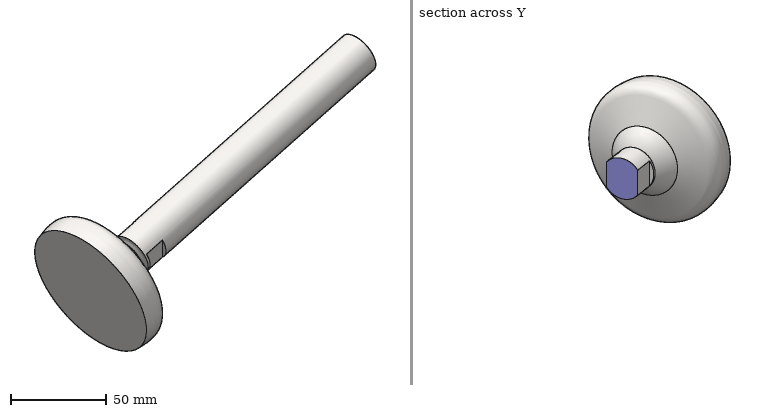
import cadquery as cq
import math


FOOT_RADIUS = 40.0
TOTAL_LENGTH = 211.5

SOLE_RADIUS = 39.2
SOLE_TAPER_HEIGHT = 5.7
RIM_TOP = 9.0
SHOULDER_RADIUS = 7.5
FLARE_ANGLE = math.radians(20.7)
COLLAR_RADIUS = 19.7
COLLAR_TOP = 23.0

DOME_RADIUS = 24.0
DOME_TOP = 31.9

STEM_RADIUS = 12.0
STEM_LENGTH = 179.5
STEM_START = TOTAL_LENGTH - STEM_LENGTH

NECK_TOP_RADIUS = 9.5
NECK_HALF_ANGLE = math.radians(75.0)
NECK_DEPTH = 1.5

FLATS_WIDTH = 19.0
FLATS_LENGTH = 12.5
FLATS_OFFSET = 1.5


def turned(profile):
    """Revolve a closed radius/height profile about the Y axis."""
    return profile.close().revolve(360, (0, 0, 0), (0, 1, 0))


def shoulder_point(angle):
    """Point on the rounded shoulder, at an angle up from the radial direction."""
    radius = FOOT_RADIUS - SHOULDER_RADIUS + SHOULDER_RADIUS * math.cos(angle)
    height = RIM_TOP + SHOULDER_RADIUS * math.sin(angle)
    return radius, height


def make_foot():
    """Tapered sole, straight rim, round shoulder, tangent flare and collar cone."""
    shoulder_end_angle = math.pi / 2 - FLARE_ANGLE
    shoulder_end = shoulder_point(shoulder_end_angle)
    flare_run = shoulder_end[0] - COLLAR_RADIUS
    flare_top = shoulder_end[1] + flare_run * math.tan(FLARE_ANGLE)
    dome_centre = DOME_TOP - DOME_RADIUS
    collar_top_radius = math.sqrt(DOME_RADIUS**2 - (COLLAR_TOP - dome_centre) ** 2)
    dome_mid_angle = math.asin(collar_top_radius / DOME_RADIUS) / 2
    dome_mid = (
        DOME_RADIUS * math.sin(dome_mid_angle),
        dome_centre + DOME_RADIUS * math.cos(dome_mid_angle),
    )
    profile = (
        cq.Workplane("ZY")
        .lineTo(SOLE_RADIUS, 0)
        .lineTo(FOOT_RADIUS, SOLE_TAPER_HEIGHT)
        .lineTo(FOOT_RADIUS, RIM_TOP)
        .threePointArc(shoulder_point(shoulder_end_angle / 2), shoulder_end)
        .lineTo(COLLAR_RADIUS, flare_top)
        .lineTo(collar_top_radius, COLLAR_TOP)
        .threePointArc(dome_mid, (0, DOME_TOP))
    )
    return turned(profile)


def make_stem():
    """Plain round stem with the conical neck at its lower end."""
    neck_bottom_radius = NECK_TOP_RADIUS - NECK_DEPTH * math.tan(NECK_HALF_ANGLE)
    neck_bottom = STEM_START - NECK_DEPTH
    profile = (
        cq.Workplane("ZY")
        .moveTo(0, neck_bottom)
        .lineTo(neck_bottom_radius, neck_bottom)
        .lineTo(NECK_TOP_RADIUS, STEM_START)
        .lineTo(STEM_RADIUS, STEM_START)
        .lineTo(STEM_RADIUS, TOTAL_LENGTH)
        .lineTo(0, TOTAL_LENGTH)
    )
    return turned(profile)


def cut_wrench_flats(stem):
    """Cut two opposite flats facing -X and +X just above the stem's lower end."""
    flat_depth = STEM_RADIUS - FLATS_WIDTH / 2
    flats_centre = STEM_START + FLATS_OFFSET + FLATS_LENGTH / 2
    for side in (-1, 1):
        cutter = cq.Workplane("XY").box(flat_depth, FLATS_LENGTH, 2 * STEM_RADIUS)
        offset = side * (STEM_RADIUS - flat_depth / 2)
        stem = stem.cut(cutter.translate((offset, flats_centre, 0)))
    return stem


result = make_foot().union(cut_wrench_flats(make_stem()))